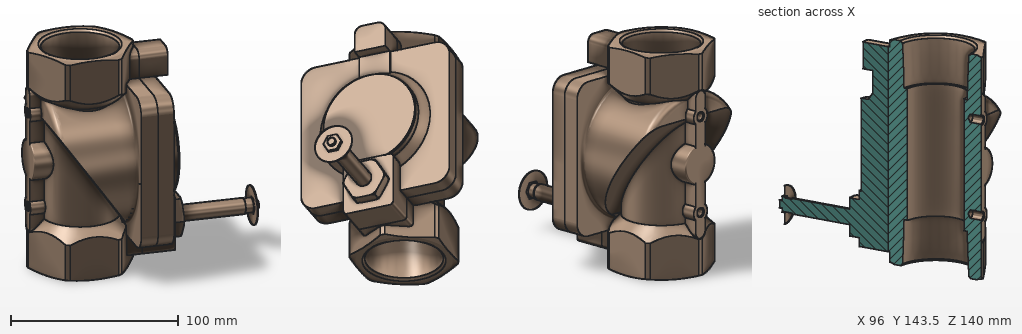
import cadquery as cq
import math


PIPE_LENGTH = 140.0
PIPE_RADIUS = 24.0
BORE_RADIUS = 20.0
HEX_FLATS = 58.0
HEX_TURNED_RADIUS = 32.65
HEX_END_CHAMFER = 1.1
HEX_CONE_START = 37.6
THREAD_MOUTH_RADIUS = 24.9
THREAD_RADIUS = 23.4
THREAD_FLOOR_RADIUS = 22.3
THREAD_DEPTH = 29.0
THREAD_CHAMFER = 1.5

TOTAL_DEPTH = 143.5
FRONT_Y = -HEX_TURNED_RADIUS
BOWL_BOTTOM_Y = -25.8
FLANGE_BOTTOM_Y = 23.3
JOINT_Y = 33.75
FLANGE_TOP_Y = 43.75

FLANGE_SIZE = 96.0
FLANGE_CORNER = 9.6
BOWL_RADIUS = 43.4
BOWL_FILLET = 5.0
BOWL_ROOT_FILLET = 1.9
CUT_TOP_Z = 27.9
CUT_SLOPE = 1.4

RIB_WIDTH = 8.0
RIB_LENGTH = 92.0
CENTRE_BOSS_RADIUS = 12.6
CENTRE_BOSS_FILLET = 1.0
SCREW_BOSS_RADIUS = 5.8
SCREW_BOSS_OFFSET = 29.8
SCREW_HOLE_DIAMETER = 4.92
SCREW_HOLE_MOUTH = 6.0
SCREW_HOLE_DEPTH = 8.0
DRILL_POINT_ANGLE = 118.0

UPPER_LUG_WIDTH = 19.8
UPPER_LUG_TOP_Z = 64.9
UPPER_LUG_CORNER = 5.0
UPPER_LUG_TOP_Y = 51.7
UPPER_PAD_HEIGHT = 1.0
UPPER_PAD_START_Z = 30.0

PILOT_WIDTH = 32.4
PILOT_TOP_Z = -28.0
PILOT_BOTTOM_Z = -62.8
PILOT_CORNER = 2.5
PILOT_TOP_Y = 54.35

DISC_RADIUS = 29.9
DISC_TOP_Y = 53.0
DISC_EDGE_Y = 52.0
DISC_EDGE_INSET = 0.4
DISC_CONE_Y = 48.0
DISC_CONE_RADIUS = 35.6

STEM_Z = (PILOT_TOP_Z + PILOT_BOTTOM_Z) / 2
STEM_NUT_FLATS = 24.0
STEM_NUT_TOP_Y = 61.1
STEM_NUT_CHAMFER_HEIGHT = 0.6
STEM_NUT_CHAMFER_INSET = 1.0
TUBE_DIAMETER = 10.0
TUBE_TOP_Y = 101.9
NECK_DIAMETER = 9.0
WASHER_Y = 106.8
WASHER_DIAMETER = 24.0
WASHER_THICKNESS = 0.5
CAP_NUT_FLATS = 10.0
CAP_NUT_TOP_Y = 109.1
STUD_DIAMETER = 5.0
STUD_GROOVE_DIAMETER = 4.92
STUD_COLLAR_HEIGHT = 0.5
STUD_TOP_Y = FRONT_Y + TOTAL_DEPTH


def plane_at(y):
    """Plane across Y whose local x is X, local y is Z and whose normal points to -Y."""
    return cq.Workplane("XZ", origin=(0, y, 0))


def box_between(x_half, y_low, y_high, z_low, z_high):
    size = (2 * x_half, y_high - y_low, z_high - z_low)
    centre = (0, (y_low + y_high) / 2, (z_low + z_high) / 2)
    return cq.Workplane("XY").box(*size).translate(centre)


def disc(diameter, y_low, y_high, z=0.0):
    return plane_at(y_high).center(0, z).circle(diameter / 2).extrude(y_high - y_low)


def hex_prism(flats, y_low, y_high, z):
    """Hexagon across Y with two of its corners on the X direction."""
    corner_diameter = flats / math.cos(math.pi / 6)
    return plane_at(y_high).center(0, z).polygon(6, corner_diameter).extrude(y_high - y_low)


def flange(y_low, y_high):
    half = FLANGE_SIZE / 2
    return box_between(half, y_low, y_high, -half, half).edges("|Y").fillet(FLANGE_CORNER)


def upper_lug():
    lug = box_between(UPPER_LUG_WIDTH / 2, FLANGE_BOTTOM_Y, UPPER_LUG_TOP_Y,
                      FLANGE_SIZE / 2, UPPER_LUG_TOP_Z)
    return lug.edges("|Y and >Z").fillet(UPPER_LUG_CORNER)


def pilot_block():
    block = box_between(PILOT_WIDTH / 2, FLANGE_BOTTOM_Y, PILOT_TOP_Y, PILOT_BOTTOM_Z, PILOT_TOP_Z)
    return block.edges("|Y").fillet(PILOT_CORNER)


def below_joint(shape):
    return shape.intersect(box_between(FLANGE_SIZE, FRONT_Y, JOINT_Y, -PIPE_LENGTH, PIPE_LENGTH))


def above_joint(shape):
    return shape.intersect(box_between(FLANGE_SIZE, JOINT_Y, STUD_TOP_Y, -PIPE_LENGTH, PIPE_LENGTH))


def hex_end():
    """Upper pipe end: a hexagon turned to a cylinder, with a 45 degree cone down to the pipe."""
    end_z = PIPE_LENGTH / 2
    cone_end_z = HEX_CONE_START + HEX_TURNED_RADIUS - PIPE_RADIUS
    turned = (
        cq.Workplane("XZ")
        .moveTo(0, HEX_CONE_START)
        .lineTo(PIPE_RADIUS, HEX_CONE_START)
        .lineTo(HEX_TURNED_RADIUS, cone_end_z)
        .lineTo(HEX_TURNED_RADIUS, end_z - HEX_END_CHAMFER)
        .lineTo(HEX_FLATS / 2, end_z)
        .lineTo(0, end_z)
        .close()
        .revolve(360, (0, 0), (0, 1))
    )
    corner_diameter = HEX_FLATS / math.cos(math.pi / 6)
    hexagon = (
        cq.Workplane("XY", origin=(0, 0, HEX_CONE_START))
        .transformed(rotate=(0, 0, 90))
        .polygon(6, corner_diameter)
        .extrude(end_z - HEX_CONE_START)
    )
    return turned.intersect(hexagon)


def thread_recess():
    """Tapered recess with a chamfered mouth in the upper pipe end."""
    end_z = PIPE_LENGTH / 2
    return (
        cq.Workplane("XZ")
        .moveTo(0, end_z - THREAD_DEPTH)
        .lineTo(THREAD_FLOOR_RADIUS, end_z - THREAD_DEPTH)
        .lineTo(THREAD_RADIUS, end_z - THREAD_CHAMFER)
        .lineTo(THREAD_MOUTH_RADIUS, end_z)
        .lineTo(0, end_z)
        .close()
        .revolve(360, (0, 0), (0, 1))
    )


def bowl():
    """Round bowl under the flange, cut off by a slanting plane below the partition."""
    cup = disc(2 * BOWL_RADIUS, BOWL_BOTTOM_Y, FLANGE_BOTTOM_Y).faces("<Y").edges().fillet(BOWL_FILLET)
    cut_end_y = FLANGE_BOTTOM_Y - BOWL_ROOT_FILLET
    cut_end_z = CUT_TOP_Z - CUT_SLOPE * (cut_end_y - BOWL_BOTTOM_Y)
    slant = (
        cq.Workplane("YZ", origin=(-FLANGE_SIZE / 2, 0, 0))
        .moveTo(BOWL_BOTTOM_Y, CUT_TOP_Z)
        .lineTo(cut_end_y, cut_end_z)
        .lineTo(cut_end_y, -FLANGE_SIZE / 2)
        .lineTo(BOWL_BOTTOM_Y, -FLANGE_SIZE / 2)
        .close()
        .extrude(FLANGE_SIZE)
    )
    return cup.cut(slant)


def bowl_root():
    """Concave fillet ring between the bowl and the flange."""
    low_y = FLANGE_BOTTOM_Y - BOWL_ROOT_FILLET
    outer = BOWL_RADIUS + BOWL_ROOT_FILLET
    middle = BOWL_ROOT_FILLET * (1 - math.sqrt(0.5))
    return (
        cq.Workplane("XY")
        .moveTo(0, low_y)
        .lineTo(BOWL_RADIUS, low_y)
        .threePointArc((BOWL_RADIUS + middle, FLANGE_BOTTOM_Y - middle), (outer, FLANGE_BOTTOM_Y))
        .lineTo(0, FLANGE_BOTTOM_Y)
        .close()
        .revolve(360, (0, 0), (0, 1))
    )


def front_rib():
    """Rib along the pipe with a centre boss and two screw bosses, all ending at one flat face."""
    rib = plane_at(0).slot2D(RIB_LENGTH, RIB_WIDTH, 90).extrude(-FRONT_Y)
    boss = disc(2 * CENTRE_BOSS_RADIUS, FRONT_Y, 0).faces("<Y").edges().fillet(CENTRE_BOSS_FILLET)
    rib = rib.union(boss)
    for z in (-SCREW_BOSS_OFFSET, SCREW_BOSS_OFFSET):
        rib = rib.union(disc(2 * SCREW_BOSS_RADIUS, FRONT_Y, 0, z))
    return rib


def screw_hole(z):
    """Blind drilled hole with a countersunk mouth and a conical end."""
    radius = SCREW_HOLE_DIAMETER / 2
    mouth = SCREW_HOLE_MOUTH / 2
    floor_y = FRONT_Y + SCREW_HOLE_DEPTH
    tip_y = floor_y + radius / math.tan(math.radians(DRILL_POINT_ANGLE / 2))
    return (
        cq.Workplane("XY")
        .moveTo(0, FRONT_Y)
        .lineTo(mouth, FRONT_Y)
        .lineTo(radius, FRONT_Y + mouth - radius)
        .lineTo(radius, floor_y)
        .lineTo(0, tip_y)
        .close()
        .revolve(360, (0, 0), (0, 1))
        .translate((0, 0, z))
    )


def make_valve_body():
    body = cq.Workplane("XY").circle(PIPE_RADIUS).extrude(PIPE_LENGTH / 2, both=True)
    ends = hex_end()
    body = body.union(ends).union(ends.mirror("XY"))
    body = body.union(bowl()).union(bowl_root()).union(flange(FLANGE_BOTTOM_Y, JOINT_Y))
    body = body.union(below_joint(upper_lug())).union(below_joint(pilot_block()))
    body = body.union(front_rib())

    recess = thread_recess()
    bore = cq.Workplane("XY").circle(BORE_RADIUS).extrude(PIPE_LENGTH / 2, both=True)
    body = body.cut(bore).cut(recess).cut(recess.mirror("XY"))
    for z in (-SCREW_BOSS_OFFSET, SCREW_BOSS_OFFSET):
        body = body.cut(screw_hole(z))
    return body


def cover_disc():
    """Raised disc with a conical foot on the cover flange."""
    return (
        cq.Workplane("XY")
        .moveTo(0, FLANGE_TOP_Y)
        .lineTo(DISC_CONE_RADIUS, FLANGE_TOP_Y)
        .lineTo(DISC_RADIUS, DISC_CONE_Y)
        .lineTo(DISC_RADIUS, DISC_EDGE_Y)
        .lineTo(DISC_RADIUS - DISC_EDGE_INSET, DISC_TOP_Y)
        .lineTo(0, DISC_TOP_Y)
        .close()
        .revolve(360, (0, 0), (0, 1))
    )


def stem_nut():
    """Hexagon nut with its corners turned off conically at both ends."""
    corner_radius = STEM_NUT_FLATS / 2 / math.cos(math.pi / 6)
    end_radius = corner_radius - STEM_NUT_CHAMFER_INSET
    turned = (
        cq.Workplane("XY")
        .moveTo(0, PILOT_TOP_Y)
        .lineTo(end_radius, PILOT_TOP_Y)
        .lineTo(corner_radius, PILOT_TOP_Y + STEM_NUT_CHAMFER_HEIGHT)
        .lineTo(corner_radius, STEM_NUT_TOP_Y - STEM_NUT_CHAMFER_HEIGHT)
        .lineTo(end_radius, STEM_NUT_TOP_Y)
        .lineTo(0, STEM_NUT_TOP_Y)
        .close()
        .revolve(360, (0, 0), (0, 1))
        .translate((0, 0, STEM_Z))
    )
    return hex_prism(STEM_NUT_FLATS, PILOT_TOP_Y, STEM_NUT_TOP_Y, STEM_Z).intersect(turned)


def grooved_stud():
    """Stud with a shallow groove between its foot and its end collar."""
    groove_low_y = CAP_NUT_TOP_Y + STUD_COLLAR_HEIGHT
    groove_high_y = STUD_TOP_Y - STUD_COLLAR_HEIGHT
    foot = disc(STUD_DIAMETER, CAP_NUT_TOP_Y, groove_low_y, STEM_Z)
    groove = disc(STUD_GROOVE_DIAMETER, groove_low_y, groove_high_y, STEM_Z)
    collar = disc(STUD_DIAMETER, groove_high_y, STUD_TOP_Y, STEM_Z)
    return foot.union(groove).union(collar)


def stem():
    """Stem with its base nut, tube, washer, cap nut and stud."""
    nut = stem_nut()
    washer_top_y = WASHER_Y + WASHER_THICKNESS
    tube = disc(TUBE_DIAMETER, STEM_NUT_TOP_Y, TUBE_TOP_Y, STEM_Z)
    neck = disc(NECK_DIAMETER, TUBE_TOP_Y, WASHER_Y, STEM_Z)
    washer = disc(WASHER_DIAMETER, WASHER_Y, washer_top_y, STEM_Z)
    cap_nut = hex_prism(CAP_NUT_FLATS, washer_top_y, CAP_NUT_TOP_Y, STEM_Z)
    stud = grooved_stud()
    return nut.union(tube).union(neck).union(washer).union(cap_nut).union(stud)


def make_cover():
    pad = box_between(UPPER_LUG_WIDTH / 2, FLANGE_TOP_Y, FLANGE_TOP_Y + UPPER_PAD_HEIGHT,
                      UPPER_PAD_START_Z, FLANGE_SIZE / 2)
    cover = flange(JOINT_Y, FLANGE_TOP_Y).union(cover_disc()).union(pad)
    cover = cover.union(above_joint(upper_lug())).union(above_joint(pilot_block()))
    return cover.union(stem())


valve_body = make_valve_body()
cover = make_cover()

result = cq.Compound.makeCompound([valve_body.val(), cover.val()])